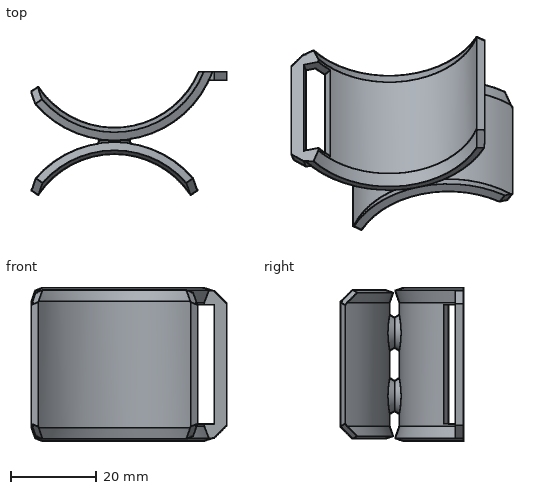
import cadquery as cq
import math


wall = 2.02
outer_radius = 23.5
inner_radius = outer_radius - wall
wall_gap = 2.2
axis_y = outer_radius + wall_gap / 2
half_angle = 56.4
front_height = 35.0
rear_height = 36.0

flare_angle = 19.0
flare = math.radians(flare_angle)
bend_z = 14.5
corner_cut = 3.05

boss_tip_radius = 3.6
boss_pitch = 14.85
boss_slope = 30.0
boss_length = wall_gap / 2 + wall / 2

overall_length = 46.0
loop_end_x = overall_length - outer_radius * math.sin(math.radians(half_angle))
loop_back_y = 16.25
loop_start_x = 20.98
loop_height = 34.65
loop_corner = 3.05
bar_width = 3.05
slot_height = 27.9

clearance = 4.6
rear_extra_angle = 30.0


def rim_outer_point(height):
    """Radius and Z of the outer edge of the flared rim."""
    rim_z = height / 2 - wall * math.sin(flare)
    rim_radius = outer_radius + (rim_z - bend_z) * math.tan(flare)
    return rim_radius, rim_z


def curved_wall(height, start_angle, sweep):
    """Wall of constant thickness around the Z axis, flaring outward at both rims."""
    rim_radius, rim_z = rim_outer_point(height)
    rim_inner_radius = rim_radius - wall * math.cos(flare)
    inner_bend_z = bend_z + wall * math.tan(flare / 2)
    profile = (
        cq.Workplane("XZ")
        .moveTo(outer_radius, -bend_z)
        .lineTo(outer_radius, bend_z)
        .lineTo(rim_radius, rim_z)
        .lineTo(rim_inner_radius, height / 2)
        .lineTo(inner_radius, inner_bend_z)
        .lineTo(inner_radius, -inner_bend_z)
        .lineTo(rim_inner_radius, -height / 2)
        .lineTo(rim_radius, -rim_z)
        .close()
    )
    return profile.revolve(sweep, (0, 0), (0, 1)).rotate((0, 0, 0), (0, 0, 1), start_angle)


def corner_cutters(height, angle, inward):
    """Upper and lower corner tools at a radial end; inward is +1 or -1 along the sweep."""
    rim_radius, rim_z = rim_outer_point(height)
    plane = cq.Plane(
        origin=(rim_radius, 0, rim_z),
        xDir=(0, 1, 0),
        normal=(math.cos(flare), 0, -math.sin(flare)),
    )
    reach = corner_cut + clearance
    upper = (
        cq.Workplane(plane)
        .polyline([
            (inward * reach, clearance),
            (-inward * clearance, clearance),
            (-inward * clearance, -reach),
        ])
        .close()
        .extrude(2 * wall, both=True)
        .rotate((0, 0, 0), (0, 0, 1), angle)
    )
    return upper, upper.mirror("XY")


def bosses(side):
    """Two cones widening from Y = 0 into the wall; side is +1 for rear, -1 for front."""
    base_radius = boss_tip_radius + boss_length * math.tan(math.radians(boss_slope))
    return [
        cq.Solid.makeCone(
            boss_tip_radius, base_radius, boss_length,
            pnt=cq.Vector(0, 0, z), dir=cq.Vector(0, side, 0),
        )
        for z in (-boss_pitch / 2, boss_pitch / 2)
    ]


def make_front_cradle():
    start_angle = 90 - half_angle
    end_angle = 90 + half_angle
    body = curved_wall(front_height, start_angle, 2 * half_angle)
    for angle, inward in ((start_angle, 1), (end_angle, -1)):
        for cutter in corner_cutters(front_height, angle, inward):
            body = body.cut(cutter)
    body = body.translate((0, -axis_y, 0))
    for boss in bosses(-1):
        body = body.union(cq.Workplane(boss))
    return body


def loop_plate():
    """Flat plate at the back plane, with its two free corners cut off."""
    plate_width = loop_end_x - loop_start_x
    return (
        cq.Workplane("XY")
        .box(plate_width, wall, loop_height, centered=(False, False, True))
        .translate((loop_start_x, loop_back_y - wall, 0))
        .edges("|Y and >X")
        .chamfer(loop_corner)
    )


def strap_slot():
    """Opening from the radial end of the wall to the bar of the loop."""
    end_angle = math.radians(half_angle - 90)

    def on_radial_end(radius):
        return radius * math.cos(end_angle), axis_y + radius * math.sin(end_angle)

    inner_x, inner_y = on_radial_end(inner_radius - wall)
    outer_x, outer_y = on_radial_end(outer_radius)
    bar_x = loop_end_x - bar_width
    past_back_y = loop_back_y + clearance
    return (
        cq.Workplane("XY")
        .polyline([
            (inner_x, inner_y),
            (outer_x, outer_y),
            (bar_x, outer_y),
            (bar_x, past_back_y),
            (inner_x, past_back_y),
        ])
        .close()
        .extrude(slot_height / 2, both=True)
    )


def make_rear_cradle():
    start_angle = -90 - half_angle
    body = curved_wall(rear_height, start_angle, 2 * half_angle + rear_extra_angle)
    for cutter in corner_cutters(rear_height, start_angle, 1):
        body = body.cut(cutter)
    body = body.translate((0, axis_y, 0))

    behind_loop = (
        cq.Workplane("XY")
        .box(4 * outer_radius, 2 * outer_radius, 2 * rear_height, centered=(True, False, True))
        .translate((0, loop_back_y, 0))
    )
    body = body.cut(behind_loop).union(loop_plate()).cut(strap_slot())
    for boss in bosses(1):
        body = body.union(cq.Workplane(boss))
    return body


front_cradle = make_front_cradle()
rear_cradle = make_rear_cradle()

result = cq.Compound.makeCompound([front_cradle.solids().val(), rear_cradle.solids().val()])